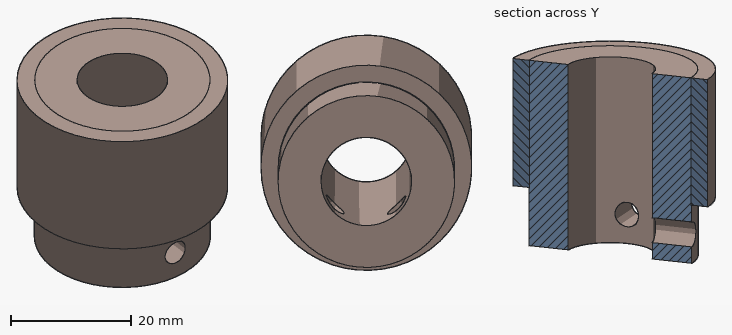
import cadquery as cq

sleeve_diameter = 35.0
sleeve_height = 21.98

collar_diameter = 29.3
collar_height = 10.0
barrel_diameter = 29.1
bore_diameter = 15.0
total_height = collar_height + sleeve_height

screw_hole_diameter = 4.2
screw_hole_height = collar_height / 2
screw_hole_directions = [cq.Vector(1, 0, 0), cq.Vector(0, 1, 0)]


def cylinder(diameter, height, base_height):
    """Upright cylinder on the Z axis, standing on the level base_height."""
    return cq.Workplane("XY").workplane(offset=base_height).circle(diameter / 2).extrude(height)


def make_screw_hole(direction):
    """Cutter from the axis of the hub out through one side of the collar."""
    start = cq.Vector(0, 0, screw_hole_height)
    return cq.Solid.makeCylinder(screw_hole_diameter / 2, collar_diameter, start, direction)


def make_hub():
    """Collar and barrel in one piece, with a through bore and radial screw holes."""
    collar = cylinder(collar_diameter, collar_height, 0)
    barrel = cylinder(barrel_diameter, sleeve_height, collar_height)
    bore = cylinder(bore_diameter, total_height, 0)
    body = collar.union(barrel).cut(bore)
    for direction in screw_hole_directions:
        body = body.cut(cq.Workplane(make_screw_hole(direction)))
    return body


def make_sleeve():
    """Ring around the barrel, resting on the collar and flush with the top of the hub."""
    ring = cylinder(sleeve_diameter, sleeve_height, collar_height)
    opening = cylinder(barrel_diameter, sleeve_height, collar_height)
    return ring.cut(opening)


hub = make_hub()
sleeve = make_sleeve()

result = cq.Compound.makeCompound([hub.val(), sleeve.val()])